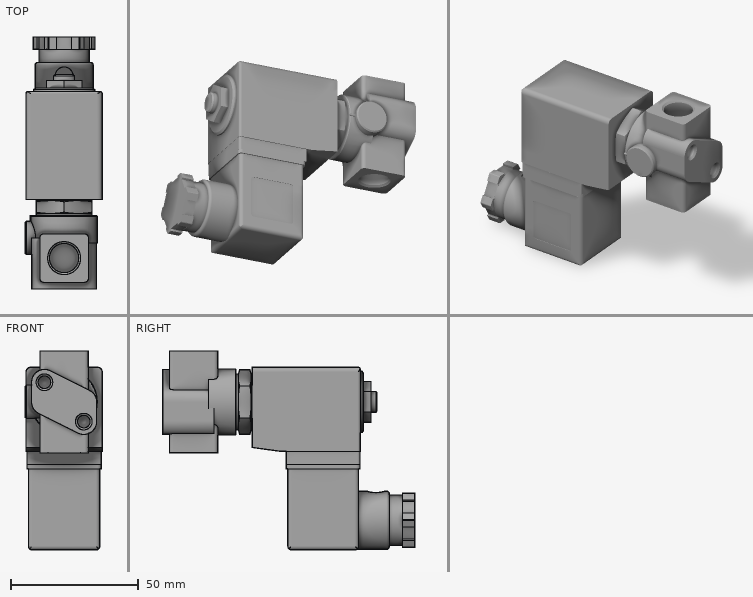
import cadquery as cq
import math


HEX_SIDES = 6
HEX_HALF_ANGLE = math.radians(180 / HEX_SIDES)

BLOCK_SIDE = 19.0
BLOCK_HEIGHT = 39.9
BLOCK_FRONT_Y = 2.7
BLOCK_CORNER_RADIUS = 1.5
BLOCK_CENTER_Y = BLOCK_FRONT_Y + BLOCK_SIDE / 2
PORT_DIAMETER = 11.5
PORT_MOUTH_DIAMETER = 13.0
PORT_DEPTH = 9.9

LUG_HOLE_OFFSET = 7.7
LUG_RADIUS = 5.0
LUG_DEPTH = 20.1
LUG_SLOPE = math.radians(26.5)
SCREW_HOLE_DIAMETER = 4.9
SCREW_MOUTH_DIAMETER = 6.5
SCREW_HOLE_DEPTH = 7.9
DRILL_POINT_ANGLE = 118.0

COLLAR_DIAMETER = 26.0
COLLAR_FRONT_Y = 18.0
COLLAR_REAR_Y = 28.8
COLLAR_CHAMFER = 0.3
RIB_DIAMETER = 0.9

SIDE_PLUG_DIAMETER = 13.15
SIDE_PLUG_OVERHANG = 0.3
SIDE_PLUG_CENTER_Y = 20.1
SIDE_PLUG_CHAMFER = 0.5

NECK_DIAMETER = 21.9
BIG_NUT_FLATS = 21.9
BIG_NUT_FRONT_Y = 29.7
BIG_NUT_REAR_Y = 34.7
BIG_NUT_CHAMFER_LENGTH = 0.5
TUBE_DIAMETER = 13.0

COIL_WIDTH = 30.0
COIL_FRONT_Y = 35.1
COIL_REAR_Y = 77.5
COIL_TOP_Z = 13.6
COIL_BOTTOM_Z = -19.4
COIL_TAPER_RISE = 1.5
COIL_TAPER_LENGTH = 11.0
COIL_TOP_RADIUS = 2.0
COIL_REAR_RADIUS = 1.0

SOCKET_WIDTH = 29.2
SOCKET_FRONT_Y = 48.4
SOCKET_REAR_Y = 77.4
SOCKET_BOTTOM_Z = -24.6

WASHER_DIAMETER = 24.1
WASHER_THICKNESS = 1.3
WASHER_CHAMFER_LENGTH = 0.6
WASHER_CHAMFER_DEPTH = 0.9
SMALL_NUT_FLATS = 13.9
SMALL_NUT_THICKNESS = 3.0
STUD_DIAMETER = 8.2
STUD_LENGTH = 2.3
STUD_CHAMFER = 0.5

GASKET_BOTTOM_Z = -26.2
GASKET_CORNER_RADIUS = 1.5
PLUG_WIDTH = 28.0
PLUG_LENGTH = 27.8
PLUG_BOTTOM_Z = -58.0
PLUG_EDGE_RADIUS = 1.5
PLUG_CENTER_Y = (SOCKET_FRONT_Y + SOCKET_REAR_Y) / 2
PANEL_LENGTH = 18.2
PANEL_HEIGHT = 17.0
PANEL_DEPTH = 0.2
PANEL_CENTER_Z = -43.9
PANEL_CORNER_RADIUS = 1.0

GLAND_AXIS_Z = -46.4
GLAND_DIAMETER = 22.8
GLAND_REAR_Y = 88.9
GLAND_EDGE_RADIUS = 1.1
SPOT_DIAMETER = 7.0
SPOT_CENTER_Y = 83.5
SPOT_DEPTH = 1.0
GLAND_NECK_DIAMETER = 19.9
CAP_FRONT_Y = 93.9
CAP_REAR_Y = 98.9
CAP_FLATS = 21.3
CAP_CORNER_DIAMETER = 24.3
CAP_GROOVE_WIDTH = 5.9
CAP_GROOVE_DEPTH = 0.9


def cross_section(y, z=0.0):
    """Workplane across the valve axis at the given Y: local x is +X, extruding toward +Y."""
    return cq.Workplane(cq.Plane(origin=(0, y, z), xDir=(1, 0, 0), normal=(0, 1, 0)))


def cylinder(diameter, front_y, rear_y, z=0.0):
    return cross_section(front_y, z).circle(diameter / 2).extrude(rear_y - front_y)


def hexagon(flats, front_y, rear_y, z=0.0, turn=0.0):
    """Hexagonal prism along Y with corners at +X and -X, turned about its axis by `turn` degrees."""
    corners = flats / math.cos(HEX_HALF_ANGLE)
    prism = cross_section(front_y, z).polygon(HEX_SIDES, corners).extrude(rear_y - front_y)
    return prism.rotate((0, 0, z), (0, 1, z), turn)



def ported_block():
    """Square upright block that carries the two ports."""
    block = cq.Workplane("XY").box(BLOCK_SIDE, BLOCK_SIDE, BLOCK_HEIGHT)
    block = block.edges("|Z").fillet(BLOCK_CORNER_RADIUS)
    return block.translate((0, BLOCK_CENTER_Y, 0))


def port_cutter():
    """Blind port with a chamfered mouth, opening at the top face of the block."""
    mouth_depth = (PORT_MOUTH_DIAMETER - PORT_DIAMETER) / 2
    port = cq.Workplane("XY").circle(PORT_DIAMETER / 2).extrude(-PORT_DEPTH)
    mouth = cq.Workplane("XY").circle(PORT_MOUTH_DIAMETER / 2).workplane(offset=-mouth_depth)
    mouth = mouth.circle(PORT_DIAMETER / 2).loft()
    return port.union(mouth).translate((0, BLOCK_CENTER_Y, BLOCK_HEIGHT / 2))


def mounting_lug():
    """Rounded parallelogram around the two mounting holes."""
    side_x = LUG_HOLE_OFFSET + LUG_RADIUS
    on_axis_z = LUG_HOLE_OFFSET * (1 - math.tan(LUG_SLOPE)) + LUG_RADIUS / math.cos(LUG_SLOPE)
    high_z = on_axis_z + side_x * math.tan(LUG_SLOPE)
    low_z = on_axis_z - side_x * math.tan(LUG_SLOPE)
    outline = [(-side_x, high_z), (side_x, low_z), (side_x, -high_z), (-side_x, -low_z)]
    lug = cq.Workplane("XZ").polyline(outline).close().extrude(-LUG_DEPTH)
    return lug.edges("|Y").fillet(LUG_RADIUS)


def screw_hole_cutter():
    """Blind drilled hole along Y with a countersunk mouth at Y = 0."""
    radius = SCREW_HOLE_DIAMETER / 2
    mouth_radius = SCREW_MOUTH_DIAMETER / 2
    mouth_depth = mouth_radius - radius
    tip_length = radius / math.tan(math.radians(DRILL_POINT_ANGLE / 2))
    profile = [
        (0, 0), (mouth_radius, 0), (radius, mouth_depth),
        (radius, SCREW_HOLE_DEPTH), (0, SCREW_HOLE_DEPTH + tip_length),
    ]
    return cq.Workplane("XY").polyline(profile).close().revolve(360, (0, 0), (0, 1))


def side_plug():
    """Round plug reaching from the valve axis out to the -X side."""
    length = COIL_WIDTH / 2 + SIDE_PLUG_OVERHANG
    plug = cq.Workplane("YZ").center(SIDE_PLUG_CENTER_Y, 0).circle(SIDE_PLUG_DIAMETER / 2)
    plug = plug.extrude(-length)
    return plug.faces("<X").chamfer(SIDE_PLUG_CHAMFER)


def collar():
    """Round collar behind the block, with a thin rib along its -X side."""
    body = cylinder(COLLAR_DIAMETER, COLLAR_FRONT_Y, COLLAR_REAR_Y)
    body = body.faces(">Y").chamfer(COLLAR_CHAMFER)
    rib = cylinder(RIB_DIAMETER, COLLAR_FRONT_Y, COLLAR_REAR_Y).translate((-COLLAR_DIAMETER / 2, 0, 0))
    return body.union(rib)


def big_nut():
    """Hexagon nut with its corners chamfered conically at both ends."""
    corner_diameter = BIG_NUT_FLATS / math.cos(HEX_HALF_ANGLE)
    chamfer_depth = (corner_diameter - BIG_NUT_FLATS) / 2
    envelope = cylinder(corner_diameter, BIG_NUT_FRONT_Y, BIG_NUT_REAR_Y)
    envelope = envelope.faces("<Y or >Y").chamfer(BIG_NUT_CHAMFER_LENGTH, chamfer_depth)
    return hexagon(BIG_NUT_FLATS, BIG_NUT_FRONT_Y, BIG_NUT_REAR_Y, turn=90).intersect(envelope)


def make_valve():
    valve = ported_block().union(mounting_lug()).union(collar()).union(side_plug())
    valve = valve.union(cylinder(NECK_DIAMETER, COLLAR_REAR_Y, BIG_NUT_FRONT_Y)).union(big_nut())
    valve = valve.union(cylinder(TUBE_DIAMETER, BIG_NUT_REAR_Y, COIL_FRONT_Y))
    port = port_cutter()
    valve = valve.cut(port).cut(port.mirror("XY"))
    for side in (-1, 1):
        place = (side * LUG_HOLE_OFFSET, 0, -side * LUG_HOLE_OFFSET)
        valve = valve.cut(screw_hole_cutter().translate(place))
    return valve



def coil_housing():
    """Coil block, rounded along its top and rear, the rear rounded edges meeting the others in mitres."""
    side_outline = [
        (COIL_FRONT_Y, COIL_TOP_Z),
        (COIL_REAR_Y, COIL_TOP_Z),
        (COIL_REAR_Y, COIL_BOTTOM_Z),
        (COIL_FRONT_Y + COIL_TAPER_LENGTH, COIL_BOTTOM_Z),
        (COIL_FRONT_Y, COIL_BOTTOM_Z + COIL_TAPER_RISE),
    ]
    prism = cq.Workplane("YZ").polyline(side_outline).close().extrude(COIL_WIDTH / 2, both=True)
    housing = prism.edges("|Y and >Z").fillet(COIL_TOP_RADIUS)
    for rear_edges in ("|X and >Y and >Z", "|Z and >Y"):
        housing = housing.intersect(prism.edges(rear_edges).fillet(COIL_REAR_RADIUS))
    return housing


def connector_socket():
    """Block under the coil that the connector plugs onto."""
    length = SOCKET_REAR_Y - SOCKET_FRONT_Y
    height = COIL_BOTTOM_Z - SOCKET_BOTTOM_Z
    socket = cq.Workplane("XY").box(SOCKET_WIDTH, length, height)
    socket = socket.edges("|Z and >Y").fillet(COIL_REAR_RADIUS)
    return socket.translate((0, PLUG_CENTER_Y, SOCKET_BOTTOM_Z + height / 2))


def rear_fastener():
    """Washer, hexagon nut and stud end behind the coil."""
    nut_front_y = COIL_REAR_Y + WASHER_THICKNESS
    nut_rear_y = nut_front_y + SMALL_NUT_THICKNESS
    washer = cylinder(WASHER_DIAMETER, COIL_REAR_Y, nut_front_y)
    washer = washer.faces(">Y").chamfer(WASHER_CHAMFER_LENGTH, WASHER_CHAMFER_DEPTH)
    nut = hexagon(SMALL_NUT_FLATS, nut_front_y, nut_rear_y, turn=90)
    stud = cylinder(STUD_DIAMETER, nut_rear_y, nut_rear_y + STUD_LENGTH).faces(">Y").chamfer(STUD_CHAMFER)
    return washer.union(nut).union(stud)


def make_coil():
    return coil_housing().union(connector_socket()).union(rear_fastener())



def gasket():
    length = SOCKET_REAR_Y - SOCKET_FRONT_Y
    thickness = SOCKET_BOTTOM_Z - GASKET_BOTTOM_Z
    plate = cq.Workplane("XY").box(SOCKET_WIDTH, length, thickness)
    plate = plate.edges("|Z").fillet(GASKET_CORNER_RADIUS)
    return plate.translate((0, PLUG_CENTER_Y, GASKET_BOTTOM_Z + thickness / 2))


def plug_housing():
    """Boxy plug, rounded along its sides and bottom, the rounded edges meeting in mitres."""
    height = GASKET_BOTTOM_Z - PLUG_BOTTOM_Z
    box = cq.Workplane("XY").box(PLUG_WIDTH, PLUG_LENGTH, height)
    plug = box.edges("|Z").fillet(PLUG_EDGE_RADIUS)
    for bottom_edges in ("|X and <Z", "|Y and <Z"):
        plug = plug.intersect(box.edges(bottom_edges).fillet(PLUG_EDGE_RADIUS))
    return plug.translate((0, PLUG_CENTER_Y, PLUG_BOTTOM_Z + height / 2))


def panel_cutter():
    panel = cq.Workplane("XY").box(2 * PANEL_DEPTH, PANEL_LENGTH, PANEL_HEIGHT)
    panel = panel.edges("|X").fillet(PANEL_CORNER_RADIUS)
    return panel.translate((-PLUG_WIDTH / 2, PLUG_CENTER_Y, PANEL_CENTER_Z))


def cable_gland():
    gland = cylinder(GLAND_DIAMETER, PLUG_CENTER_Y, GLAND_REAR_Y, GLAND_AXIS_Z)
    gland = gland.faces(">Y").edges().fillet(GLAND_EDGE_RADIUS)
    spot_top_z = GLAND_AXIS_Z + GLAND_DIAMETER / 2
    spot = cq.Workplane("XY", origin=(0, SPOT_CENTER_Y, spot_top_z)).circle(SPOT_DIAMETER / 2)
    gland = gland.cut(spot.extrude(-SPOT_DEPTH))
    return gland.union(cylinder(GLAND_NECK_DIAMETER, GLAND_REAR_Y, CAP_FRONT_Y, GLAND_AXIS_Z))


def gland_cap():
    """Hexagonal cap with trimmed corners and a shallow grip groove along each flat."""
    cap = hexagon(CAP_FLATS, CAP_FRONT_Y, CAP_REAR_Y, GLAND_AXIS_Z)
    cap = cap.intersect(cylinder(CAP_CORNER_DIAMETER, CAP_FRONT_Y, CAP_REAR_Y, GLAND_AXIS_Z))
    groove = cq.Workplane("XY").box(CAP_GROOVE_WIDTH, CAP_REAR_Y - CAP_FRONT_Y, 2 * CAP_GROOVE_DEPTH)
    groove = groove.translate((0, (CAP_FRONT_Y + CAP_REAR_Y) / 2, GLAND_AXIS_Z + CAP_FLATS / 2))
    for side in range(HEX_SIDES):
        turn = side * 360 / HEX_SIDES
        cap = cap.cut(groove.rotate((0, 0, GLAND_AXIS_Z), (0, 1, GLAND_AXIS_Z), turn))
    return cap


def make_connector():
    plug = plug_housing().cut(panel_cutter())
    return gasket().union(plug).union(cable_gland()).union(gland_cap())


valve = make_valve()
coil = make_coil()
connector = make_connector()

result = cq.Compound.makeCompound([body.solids().val() for body in (valve, coil, connector)])